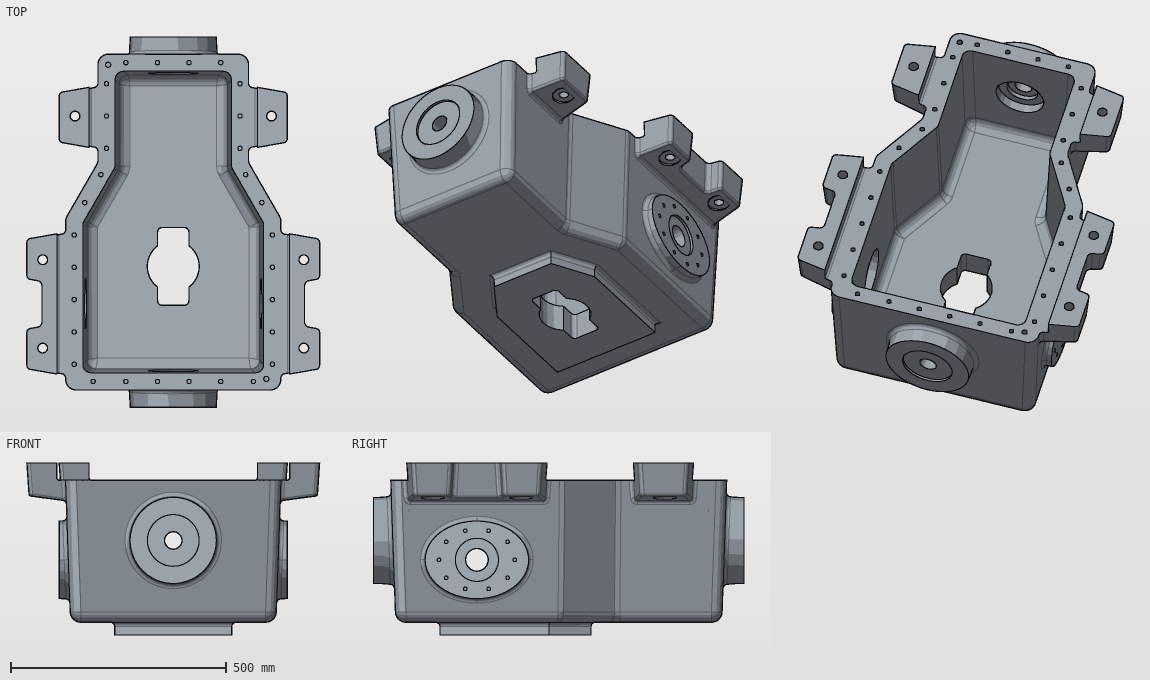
import cadquery as cq
import math

WIDE_HALF = 250.0
NARROW_HALF = 175.0
END_Y = 390.0
BEVEL_ANGLE = 30.0
WIDE_CORNER_Y = 8.0
SHELL_DEPTH = 330.0
WALL = 40.0
FLOOR = 40.0
DRAFT = 2.0
OUTER_RADIUS = 25.0
INNER_RADIUS = 20.0
FLOOR_RADIUS = 25.0

PAD_INSET = 114.0
PAD_END_Y = 75.0
PAD_HEIGHT = 30.0
PAD_FILLET = 10.0
WINDOW_DIAMETER = 120.0
WINDOW_WIDTH = 72.0
WINDOW_LENGTH = 180.0
WINDOW_Y = -103.0
WINDOW_RADIUS = 10.0

EAR_REACH = 90.0
EAR_STEP = 20.0
EAR_TOP = 40.0
EAR_TIP_BOTTOM = -36.0
EAR_RAW_DEPTH = 110.0
EAR_BOTTOM_ANGLE = 7.6
EAR_SIDE_ANGLE = 10.0
EAR_DRAFT = 4.0
EAR_CORNER = 10.0
NOTCH_RADIUS = 12.0
EAR_BOTTOM_RADIUS = 6.0
EAR_ROOT_RADIUS = 10.0
EAR_STEP_RADIUS = 5.0
EAR_HOLE = 22.0
EAR_HOLE_INSET = 37.0
SPOTFACE_DIAMETER = 52.0
SPOTFACE_Z = -39.0
WIDE_EAR_Y = -190.0
WIDE_EAR_HALF = 163.0
WIDE_EAR_HOLE_OFFSET = 102.5
NOTCH_HALF = 52.0
NOTCH_DEPTH = 35.0
NARROW_EAR_Y = 243.0
NARROW_EAR_HALF = 70.0
NARROW_EAR_HOLE_Y = 246.0

BOSS_FILLET = 10.0
BOSS_DRAFT = 3.0
END_BOSS_DIAMETER = 200.0
END_BOSS_Y = 430.0
END_BOSS_Z = -140.0
END_BORE = 40.0
END_RECESS = 120.0
SIDE_BOSS_X = 265.0
SIDE_BOSS_Y = WIDE_EAR_Y
SIDE_BOSS_Z = -185.0
SIDE_BOSS_SEMI_Y = 120.0
SIDE_BOSS_SEMI_Z = 90.0
SIDE_BORE = 52.0
SIDE_RECESS = 100.0
RECESS_DEPTH = 6.0
INNER_RECESS = 115.0
INNER_RECESS_DEPTH = 20.0
INNER_STEP = 75.0
INNER_STEP_DEPTH = 30.0
SIDE_BOLT_COUNT = 10
SIDE_BOLT_SEMI_Y = 88.0
SIDE_BOLT_SEMI_Z = 71.0
SIDE_BOLT_HOLE = 8.38
SIDE_BOLT_DEPTH = 20.0

RIM_HOLE = 10.1
DOWEL_HOLE = 12.0
RIM_HOLE_DEPTH = 25.0
RIM_INSET = 20.0
RIM_PITCH = 75.0
WIDE_ROW_Y = -330.0
WIDE_ROW_COUNT = 5
NARROW_ROW_Y = 171.0
NARROW_ROW_COUNT = 3
BEVEL_ROW_START = 26.0
BEVEL_ROW_COUNT = 2
WIDE_END_ROW_X = (36.5, 110.0, 186.0)
NARROW_END_ROW_X = (36.5, 110.0)
DOWELS = [(-151.0, 365.0), (216.0, -364.0)]

BEVEL = math.radians(BEVEL_ANGLE)
EAR_OVERLAP = WALL / 2
JOINT_REACH = 6.0
EAR_LEAN = EAR_RAW_DEPTH / 2 * math.tan(math.radians(EAR_DRAFT))
BASE_Z = -SHELL_DEPTH - PAD_HEIGHT
SIDES = (-1, 1)


def draft_shift(depth):
    """Inward shift of a drafted wall at a depth below the rim."""
    return depth * math.tan(math.radians(DRAFT))


def inset_corners(points, inset):
    """Corner points of a counterclockwise polygon with every side moved inward by inset."""
    moved = []
    for index, (x, y) in enumerate(points):
        last_x, last_y = points[index - 1]
        next_x, next_y = points[(index + 1) % len(points)]
        angle_in = math.atan2(y - last_y, x - last_x)
        angle_out = math.atan2(next_y - y, next_x - x)
        half_turn = (angle_out - angle_in) / 2
        inward = angle_in + half_turn + math.pi / 2
        reach = inset / math.cos(half_turn)
        moved.append((x + reach * math.cos(inward), y + reach * math.sin(inward)))
    return moved


def tapered_block(points, depth, angle):
    """Block hanging below Z = 0 whose sides lean inward by angle and keep sharp corners."""
    bottom = inset_corners(points, depth * math.tan(math.radians(angle)))
    upper = [cq.Vector(x, y, 0) for x, y in points]
    lower = [cq.Vector(x, y, -depth) for x, y in bottom]
    loops = [upper, lower[::-1]]
    for index in range(len(points)):
        loops.append([upper[index - 1], lower[index - 1], lower[index], upper[index]])
    faces = [cq.Face.makeFromWires(cq.Wire.makePolygon(loop, close=True)) for loop in loops]
    return cq.Workplane(cq.Solid.makeSolid(cq.Shell.makeShell(faces)))


def outline(inset):
    """Corner points of the housing outline moved inward by inset."""
    narrow_corner_y = WIDE_CORNER_Y + (WIDE_HALF - NARROW_HALF) / math.tan(BEVEL)
    right = [
        (WIDE_HALF, -END_Y),
        (WIDE_HALF, WIDE_CORNER_Y),
        (NARROW_HALF, narrow_corner_y),
        (NARROW_HALF, END_Y),
    ]
    left = [(-x, y) for x, y in reversed(right)]
    return inset_corners(right + left, inset)


def drafted_block(inset, depth, corner_radius, floor_radius):
    """Drafted block hanging from the rim face, with rounded corners and bottom."""
    block = tapered_block(outline(inset), depth, DRAFT)
    block = block.edges("not(#Z)").fillet(corner_radius)
    return block.faces("<Z").edges().fillet(floor_radius)


def base_pad():
    """Flat pad under the floor, cut off straight at its narrow end."""
    block = cq.Workplane("XY").workplane(offset=BASE_Z).polyline(outline(PAD_INSET)).close()
    block = block.extrude(PAD_HEIGHT + FLOOR / 2)
    keep = cq.Workplane("XY").box(2 * WIDE_HALF, END_Y + PAD_END_Y, SHELL_DEPTH, centered=(True, False, True))
    return block.intersect(keep.translate((0, -END_Y, BASE_Z)))


def near_x(x):
    """Selects edges whose centre lies close to a plane of constant X."""
    return cq.selectors.BoxSelector(
        (x - JOINT_REACH, -END_Y, -SHELL_DEPTH),
        (x + JOINT_REACH, END_Y, SHELL_DEPTH))


def ear_bottom_cutter(tip_x):
    """Everything below the sloping underside of an ear."""
    run = EAR_REACH + EAR_OVERLAP
    drop = run * math.tan(math.radians(EAR_BOTTOM_ANGLE))
    profile = [
        (tip_x + run, EAR_TIP_BOTTOM - drop),
        (tip_x + run, BASE_Z),
        (tip_x - run, BASE_Z),
        (tip_x - run, EAR_TIP_BOTTOM + drop),
    ]
    return cq.Workplane("XZ").polyline(profile).close().extrude(END_Y, both=True)


def ear(wall_x, centre_y, half_width, notched):
    """Left-hand ear (towards -X) with drafted sides and a sloping underside."""
    root_x = -wall_x + EAR_OVERLAP
    tip_x = -wall_x - EAR_REACH
    slope = math.tan(math.radians(EAR_SIDE_ANGLE))
    root_half = half_width + (EAR_STEP + EAR_OVERLAP) * slope
    tip_half = half_width - (EAR_REACH - EAR_STEP) * slope
    half = [(root_x, root_half), (tip_x, tip_half)]
    if notched:
        notch_x = tip_x + NOTCH_DEPTH
        half += [(tip_x, NOTCH_HALF + NOTCH_DEPTH * slope), (notch_x, NOTCH_HALF)]
    points = half + [(x, -y) for x, y in reversed(half)]
    block = tapered_block(points, EAR_RAW_DEPTH, EAR_DRAFT)
    block = block.edges("not(#Z)").edges(near_x(tip_x + EAR_LEAN)).fillet(EAR_CORNER)
    if notched:
        block = block.edges("not(#Z)").edges(near_x(notch_x + EAR_LEAN)).fillet(NOTCH_RADIUS)
    block = block.translate((0, 0, EAR_TOP)).cut(ear_bottom_cutter(tip_x))
    block = block.faces("<Z").edges("not(>X)").fillet(EAR_BOTTOM_RADIUS)
    return block.translate((0, centre_y, 0))


def ear_step_cutter(wall_x, centre_y, half_width):
    """Clears the rim inside the raised ear pad and leaves a filleted step."""
    length = EAR_STEP + wall_x / 2
    block = cq.Workplane("XY").box(length, 2 * half_width + WALL, EAR_TOP, centered=(False, True, False))
    block = block.translate((-wall_x - EAR_STEP, centre_y, 0))
    return block.edges("|Y and <X and <Z").fillet(EAR_STEP_RADIUS)


def wall_joint(axis, centre, half_along, half_up):
    """Selects the edges of a boss or ear that lie on a drafted wall; axis is the wall normal."""
    half = (JOINT_REACH, half_along, half_up) if axis == "X" else (half_along, JOINT_REACH, half_up)
    low = tuple(c - h for c, h in zip(centre, half))
    high = tuple(c + h for c, h in zip(centre, half))
    return cq.selectors.BoxSelector(low, high)


def add_ears(body):
    """Adds both ears on the left and blends them into the drafted wall."""
    ears = [
        (WIDE_HALF, WIDE_EAR_Y, WIDE_EAR_HALF, True),
        (NARROW_HALF, NARROW_EAR_Y, NARROW_EAR_HALF, False),
    ]
    for wall_x, centre_y, half_width, notched in ears:
        block = ear(wall_x, centre_y, half_width, notched)
        block = block.cut(ear_step_cutter(wall_x, centre_y, half_width))
        body = body.union(block)
        centre = (draft_shift(EAR_TOP) - wall_x, centre_y, -EAR_TOP)
        joint = wall_joint("X", centre, half_width + EAR_ROOT_RADIUS, 0.9 * EAR_TOP)
        body = body.edges(joint).fillet(EAR_ROOT_RADIUS)
    return body


def end_boss(side):
    """Round boss on an end wall, widening slightly towards the wall."""
    plane = cq.Plane(origin=(0, side * END_BOSS_Y, END_BOSS_Z), xDir=(1, 0, 0), normal=(0, -side, 0))
    length = END_BOSS_Y - END_Y + WALL / 2
    return cq.Workplane(plane).circle(END_BOSS_DIAMETER / 2).extrude(length, taper=-BOSS_DRAFT)


def side_boss(side):
    """Elliptical boss on a side wall, widening slightly towards the wall."""
    plane = cq.Plane(origin=(side * SIDE_BOSS_X, SIDE_BOSS_Y, SIDE_BOSS_Z), xDir=(0, 1, 0), normal=(-side, 0, 0))
    length = SIDE_BOSS_X - WIDE_HALF + WALL / 2
    return cq.Workplane(plane).ellipse(SIDE_BOSS_SEMI_Y, SIDE_BOSS_SEMI_Z).extrude(length, taper=-BOSS_DRAFT)


def add_bosses(body):
    """Adds the end and side bosses with a fillet where each meets its wall."""
    end_wall = END_Y - draft_shift(-END_BOSS_Z)
    side_wall = WIDE_HALF - draft_shift(-SIDE_BOSS_Z)
    end_reach = END_BOSS_DIAMETER / 2 + BOSS_FILLET
    for side in SIDES:
        end_joint = wall_joint("Y", (0, side * end_wall, END_BOSS_Z), end_reach, end_reach)
        body = body.union(end_boss(side)).edges(end_joint).fillet(BOSS_FILLET)
        side_joint = wall_joint(
            "X", (side * side_wall, SIDE_BOSS_Y, SIDE_BOSS_Z),
            SIDE_BOSS_SEMI_Y + BOSS_FILLET, SIDE_BOSS_SEMI_Z + BOSS_FILLET)
        body = body.union(side_boss(side)).edges(side_joint).fillet(BOSS_FILLET)
    return body


def add_pad(body):
    """Adds the base pad with a fillet where it meets the floor."""
    body = body.union(base_pad())
    pad_half = WIDE_HALF - PAD_INSET
    joint = cq.selectors.BoxSelector(
        (-pad_half - 1, PAD_INSET - END_Y - 1, -SHELL_DEPTH - 1),
        (pad_half + 1, PAD_END_Y + 1, -SHELL_DEPTH + 1))
    return body.edges(joint).fillet(PAD_FILLET)


def cylinder_x(side, x_start, x_end, diameter):
    """Cylinder on the side bore axis between two distances from the YZ plane."""
    plane = cq.Plane(origin=(side * x_start, SIDE_BOSS_Y, SIDE_BOSS_Z), xDir=(0, 1, 0), normal=(side, 0, 0))
    return cq.Workplane(plane).circle(diameter / 2).extrude(x_end - x_start)


def cylinder_y(side, y_start, y_end, diameter):
    """Cylinder on the end bore axis between two distances from the XZ plane."""
    plane = cq.Plane(origin=(0, side * y_start, END_BOSS_Z), xDir=(1, 0, 0), normal=(0, side, 0))
    return cq.Workplane(plane).circle(diameter / 2).extrude(y_end - y_start)


def cut_bores(body):
    """Cuts the four bores with a round recess on both faces; the end bores have an extra inner step."""
    side_face = WIDE_HALF - WALL - draft_shift(-SIDE_BOSS_Z)
    end_face = END_Y - WALL - draft_shift(-END_BOSS_Z)
    side_start = side_face - WALL / 2
    end_start = end_face - WALL / 2
    for side in SIDES:
        cutters = [
            cylinder_x(side, side_start, SIDE_BOSS_X, SIDE_BORE),
            cylinder_x(side, SIDE_BOSS_X - RECESS_DEPTH, SIDE_BOSS_X, SIDE_RECESS),
            cylinder_x(side, side_start, side_face + INNER_RECESS_DEPTH, INNER_RECESS),
            cylinder_y(side, end_start, END_BOSS_Y, END_BORE),
            cylinder_y(side, END_BOSS_Y - RECESS_DEPTH, END_BOSS_Y, END_RECESS),
            cylinder_y(side, end_start, end_face + INNER_RECESS_DEPTH, INNER_RECESS),
            cylinder_y(side, end_start, end_face + INNER_STEP_DEPTH, INNER_STEP),
        ]
        for cutter in cutters:
            body = body.cut(cutter)
    return body


def cut_side_bolt_holes(body):
    """Cuts the blind holes around each side bore, set out on an ellipse."""
    centres = []
    for index in range(SIDE_BOLT_COUNT):
        angle = 2 * math.pi * index / SIDE_BOLT_COUNT
        centres.append((SIDE_BOLT_SEMI_Y * math.cos(angle), SIDE_BOLT_SEMI_Z * math.sin(angle)))
    for side in SIDES:
        plane = cq.Plane(origin=(side * SIDE_BOSS_X, SIDE_BOSS_Y, SIDE_BOSS_Z), xDir=(0, 1, 0), normal=(-side, 0, 0))
        holes = cq.Workplane(plane).pushPoints(centres).circle(SIDE_BOLT_HOLE / 2).extrude(SIDE_BOLT_DEPTH)
        body = body.cut(holes)
    return body


def rim_hole_centres():
    """Bolt hole centres along the middle of the rim."""
    side_x = WIDE_HALF - RIM_INSET
    end_y = END_Y - RIM_INSET
    narrow_x, narrow_y = outline(RIM_INSET)[2]
    right = [(side_x, WIDE_ROW_Y + RIM_PITCH * index) for index in range(WIDE_ROW_COUNT)]
    right += [(narrow_x, NARROW_ROW_Y + RIM_PITCH * index) for index in range(NARROW_ROW_COUNT)]
    for index in range(BEVEL_ROW_COUNT):
        distance = BEVEL_ROW_START + RIM_PITCH * index
        right.append((narrow_x + distance * math.sin(BEVEL), narrow_y - distance * math.cos(BEVEL)))
    right += [(x, -end_y) for x in WIDE_END_ROW_X]
    right += [(x, end_y) for x in NARROW_END_ROW_X]
    return right + [(-x, y) for x, y in right]


def cut_rim_holes(body):
    """Cuts the blind bolt and dowel holes in the rim face."""
    bolts = cq.Workplane("XY").pushPoints(rim_hole_centres()).circle(RIM_HOLE / 2).extrude(-RIM_HOLE_DEPTH)
    dowels = cq.Workplane("XY").pushPoints(DOWELS).circle(DOWEL_HOLE / 2).extrude(-RIM_HOLE_DEPTH)
    return body.cut(bolts).cut(dowels)


def cut_ear_holes(body):
    """Cuts the mounting holes through the ears with a spotface underneath."""
    wide_x = WIDE_HALF + EAR_REACH - EAR_HOLE_INSET
    narrow_x = NARROW_HALF + EAR_REACH - EAR_HOLE_INSET
    right = [(wide_x, WIDE_EAR_Y + offset) for offset in (-WIDE_EAR_HOLE_OFFSET, WIDE_EAR_HOLE_OFFSET)]
    right.append((narrow_x, NARROW_EAR_HOLE_Y))
    centres = right + [(-x, y) for x, y in right]
    bottom = cq.Workplane("XY").workplane(offset=SPOTFACE_Z).pushPoints(centres)
    holes = bottom.circle(EAR_HOLE / 2).extrude(EAR_TOP - SPOTFACE_Z)
    spotfaces = bottom.circle(SPOTFACE_DIAMETER / 2).extrude(-EAR_TOP / 2)
    return body.cut(holes).cut(spotfaces)


def floor_window():
    """Round opening with a longer rounded slot across it, through floor and pad."""
    height = FLOOR + PAD_HEIGHT + FLOOR_RADIUS
    slot = cq.Workplane("XY").box(WINDOW_WIDTH, WINDOW_LENGTH, height, centered=(True, True, False))
    slot = slot.edges("|Z").fillet(WINDOW_RADIUS)
    window = slot.union(cq.Workplane("XY").circle(WINDOW_DIAMETER / 2).extrude(height))
    return window.translate((0, WINDOW_Y, BASE_Z))


def mirrored_ears(body):
    """Adds the ears on the left half and mirrors it to the right."""
    body = add_ears(body)
    right_half = cq.Workplane("XY").box(WIDE_HALF * 2, END_Y * 4, SHELL_DEPTH * 4, centered=(False, True, True))
    left_half = body.cut(right_half)
    return left_half.union(left_half.mirror("YZ"))


housing = drafted_block(0, SHELL_DEPTH, OUTER_RADIUS, FLOOR_RADIUS)
housing = mirrored_ears(housing)
housing = add_pad(housing)
housing = add_bosses(housing)
housing = housing.cut(drafted_block(WALL, SHELL_DEPTH - FLOOR, INNER_RADIUS, FLOOR_RADIUS))
housing = housing.cut(floor_window())
housing = cut_bores(housing)
housing = cut_side_bolt_holes(housing)
housing = cut_rim_holes(housing)
result = cut_ear_holes(housing)